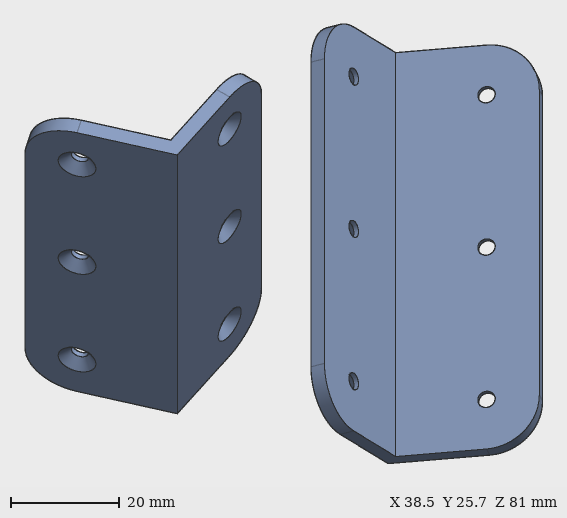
import cadquery as cq
import math

height = 81.0
thickness = 3.0
total_width = 38.5
total_depth = 25.7
bend_angle = 69.2
corner_radius = 10.0
hole_diameter = 3.2
countersink_diameter = 7.2
countersink_angle = 90.0

tilt = math.radians(bend_angle)
tilted_length = (total_depth - thickness * math.cos(tilt)) / math.sin(tilt)
flat_length = total_width - tilted_length * math.cos(tilt)

hole_heights = [corner_radius, height / 2, height - corner_radius]


def leaf(length):
    """Leaf along +X from the bend at the origin, outer face on Y = 0, mitred at the bend."""
    mitre_offset = thickness * math.tan(tilt / 2)
    blank = (
        cq.Workplane("XY")
        .polyline([(0, 0), (length, 0), (length, thickness), (mitre_offset, thickness)])
        .close()
        .extrude(height)
    )
    rounded = blank.edges("|Y and >X").fillet(corner_radius)
    hole_centers = [(length - corner_radius, z) for z in hole_heights]
    return (
        rounded.copyWorkplane(cq.Workplane(cq.Plane((0, 0, 0), (1, 0, 0), (0, -1, 0))))
        .pushPoints(hole_centers)
        .cskHole(hole_diameter, countersink_diameter, countersink_angle)
    )


flat_leaf = leaf(flat_length).mirror("YZ")
tilted_leaf = leaf(tilted_length).rotate((0, 0, 0), (0, 0, 1), bend_angle)

result = flat_leaf.union(tilted_leaf)